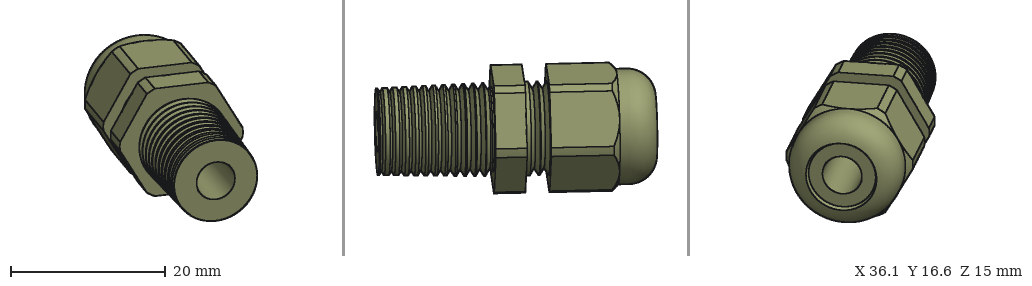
import cadquery as cq
import math


hexagon_sides = 6
across_flats = 15.0
across_corners = 16.65
bore_radius = 2.6

dome_length = 3.6
dome_rim_radius = 4.65
nut_shoulder = 5.0
nut_end = 13.95
recess_depth = 0.6
recess_floor_radius = 4.4

collar_start = 17.1
collar_end = 21.15
total_length = 36.07

flank_half_angle = 32.0
flank_slope = 1 / math.tan(math.radians(flank_half_angle))
first_tail_root = 21.6
last_tail_root = 35.6
tail_ridge_count = 11
pitch = (last_tail_root - first_tail_root) / tail_ridge_count
tail_root_radius = 5.12
tail_crest_start_radius = 6.1
tail_end_radius = 5.63
tail_taper = (tail_crest_start_radius - tail_end_radius) / (total_length - collar_end)
tail_neck_radius = 5.5
neck_root_radius = 5.15
neck_crest_radius = 6.1
neck_first_root = 14.57
neck_groove_count = 2

flat_radius = across_flats / 2
corner_radius = across_corners / 2


def revolve_about_x(outline):
    """Turn a closed (x, radius) outline about the X axis."""
    return outline.close().revolve(360, (0, 0, 0), (1, 0, 0))


def cylinder(start, end, radius):
    return cq.Workplane("YZ", origin=(start, 0, 0)).circle(radius).extrude(end - start)


def rounded_hexagon(start, end):
    """Hexagonal prism with flats at the top and bottom and turned-down corners."""
    hexagon_diameter = across_flats / math.cos(math.pi / hexagon_sides)
    outline = cq.Workplane("YZ", origin=(start, 0, 0)).polygon(hexagon_sides, hexagon_diameter)
    prism = outline.extrude(end - start)
    return prism.intersect(cylinder(start, end, corner_radius))


def tail_crest_radius(x):
    """Radius of the cone that truncates the tail thread."""
    return tail_crest_start_radius - tail_taper * (x - collar_end)


def make_dome():
    """Round nose of the nut; its arc runs from the rim to a tangent cylinder."""
    rise = flat_radius - dome_rim_radius
    arc_radius = (dome_length**2 + rise**2) / (2 * rise)
    arc_centre_radius = flat_radius - arc_radius
    middle_angle = math.asin(dome_length / arc_radius) / 2
    arc_middle = (
        dome_length - arc_radius * math.sin(middle_angle),
        arc_centre_radius + arc_radius * math.cos(middle_angle),
    )
    outline = (
        cq.Workplane("XY")
        .moveTo(recess_depth, 0)
        .lineTo(recess_depth, recess_floor_radius)
        .lineTo(0, dome_rim_radius)
        .threePointArc(arc_middle, (dome_length, flat_radius))
        .lineTo(nut_shoulder, flat_radius)
        .lineTo(nut_shoulder, 0)
    )
    return revolve_about_x(outline)


def make_nut_hexagon():
    """Wrench hexagon of the nut, its front corners cut back by a 45 degree cone."""
    chamfer = corner_radius - flat_radius
    blank = revolve_about_x(
        cq.Workplane("XY")
        .moveTo(nut_shoulder, 0)
        .lineTo(nut_shoulder, flat_radius)
        .lineTo(nut_shoulder + chamfer, corner_radius)
        .lineTo(nut_end, corner_radius)
        .lineTo(nut_end, 0)
    )
    return rounded_hexagon(nut_shoulder, nut_end).intersect(blank)


def make_nut():
    nut = make_dome().union(make_nut_hexagon())
    return nut.cut(cylinder(0, nut_end, bore_radius))


def make_neck():
    """Straight threaded neck between the nut and the collar."""
    flank = (neck_crest_radius - neck_root_radius) / flank_slope
    outline = cq.Workplane("XY").moveTo(nut_end, 0).lineTo(nut_end, neck_crest_radius)
    for groove in range(neck_groove_count):
        root = neck_first_root + groove * pitch
        outline = (
            outline.lineTo(root - flank, neck_crest_radius)
            .lineTo(root, neck_root_radius)
            .lineTo(root + flank, neck_crest_radius)
        )
    outline = outline.lineTo(collar_start, neck_crest_radius).lineTo(collar_start, 0)
    return revolve_about_x(outline)


def make_tail():
    """Tapered tail: equal V grooves whose crests are truncated by a cone."""
    relief_flank = (tail_neck_radius - tail_root_radius) / flank_slope
    outline = (
        cq.Workplane("XY")
        .moveTo(collar_end, 0)
        .lineTo(collar_end, tail_neck_radius)
        .lineTo(first_tail_root - relief_flank, tail_neck_radius)
        .lineTo(first_tail_root, tail_root_radius)
    )
    for ridge in range(tail_ridge_count):
        root = first_tail_root + ridge * pitch
        next_root = root + pitch
        crest_start = root + (tail_crest_radius(root) - tail_root_radius) / (flank_slope + tail_taper)
        crest_end = next_root - (tail_crest_radius(next_root) - tail_root_radius) / (flank_slope - tail_taper)
        outline = (
            outline.lineTo(crest_start, tail_crest_radius(crest_start))
            .lineTo(crest_end, tail_crest_radius(crest_end))
            .lineTo(next_root, tail_root_radius)
        )
    end_flank = (tail_crest_radius(last_tail_root) - tail_root_radius) / (flank_slope + tail_taper)
    end_crest = last_tail_root + end_flank
    outline = (
        outline.lineTo(end_crest, tail_crest_radius(end_crest))
        .lineTo(total_length, tail_end_radius)
        .lineTo(total_length, 0)
    )
    return revolve_about_x(outline)


def make_gland_body():
    body = make_neck().union(rounded_hexagon(collar_start, collar_end)).union(make_tail())
    return body.cut(cylinder(nut_end, total_length, bore_radius))


nut = make_nut()
gland_body = make_gland_body()

result = cq.Compound.makeCompound([nut.val(), gland_body.val()])